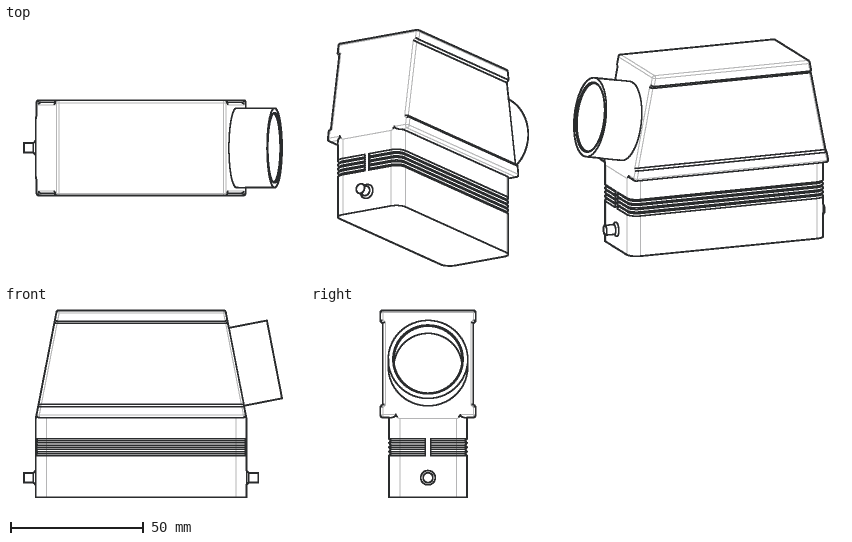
import cadquery as cq
import math

total_height = 70.5
end_slant = 11.0

body_length = 79.5
body_width = 29.4
body_corner_radius = 4.0
body_end_height = 29.8
body_overlap = 2.9

hood_bottom = 30.1
hood_width = 36.0
hood_edge_radius = 1.0
rib_height = 4.1
rib_step = 0.9

groove_count = 4
groove_pitch = 1.61
groove_depth = 0.7
groove_bottom = 15.7
groove_gap = 1.9

pin_tip = 44.2
pin_height = 7.4
pin_radius = 1.85
pin_base_radius = 2.7
pin_cone_length = 0.9

collar_radius = 15.0
bore_radius = 12.9
bore_chamfer = 0.4
collar_reach = 53.2
collar_center_height = 52.0
collar_length = 18.5
bore_depth = 14.6

half_length = body_length / 2
top_half_length = half_length - (total_height - body_end_height) * math.tan(math.radians(end_slant))


def make_side_outline():
    """Full-width prism with vertical lower ends and slanted upper ends."""
    return (
        cq.Workplane("XZ")
        .moveTo(-half_length, 0)
        .lineTo(half_length, 0)
        .lineTo(half_length, body_end_height)
        .lineTo(top_half_length, total_height)
        .lineTo(-top_half_length, total_height)
        .lineTo(-half_length, body_end_height)
        .close()
        .extrude(hood_width / 2, both=True)
    )


def make_hood(side_outline):
    """Ribbed hood section trimmed to the slanted ends, all its outer edges rounded."""
    rib_y = hood_width / 2
    waist_y = rib_y - rib_step
    lower_rib_top = hood_bottom + rib_height
    upper_rib_bottom = total_height - rib_height
    half_section = [
        (rib_y, hood_bottom),
        (rib_y, lower_rib_top),
        (waist_y, lower_rib_top + rib_step),
        (waist_y, upper_rib_bottom - rib_step),
        (rib_y, upper_rib_bottom),
        (rib_y, total_height),
    ]
    mirrored = [(-y, z) for y, z in reversed(half_section)]
    section = cq.Workplane("YZ").polyline(half_section + mirrored).close()
    hood = section.extrude(half_length, both=True).intersect(side_outline)
    long_edges = hood.edges("|X and (>Z or <Z)")
    end_edges = hood.faces("<X or >X").edges()
    return hood.newObject(long_edges.vals() + end_edges.vals()).fillet(hood_edge_radius)


def make_body(side_outline):
    return (
        cq.Workplane("XY")
        .rect(body_length, body_width)
        .extrude(hood_bottom + body_overlap)
        .edges("|Z")
        .fillet(body_corner_radius)
        .intersect(side_outline)
    )


def make_groove_ring(bottom):
    """Ring left between a rounded block and the same block pinched to a V waist."""
    half_pitch = groove_pitch / 2
    taper = math.degrees(math.atan(groove_depth / half_pitch))

    def outline():
        return (
            cq.Sketch()
            .rect(body_length, body_width)
            .vertices()
            .fillet(body_corner_radius)
        )

    base = cq.Workplane("XY").workplane(offset=bottom)
    lower_half = base.placeSketch(outline()).extrude(half_pitch, taper=taper)
    upper_half = lower_half.mirror("XY", (0, 0, bottom + half_pitch))
    ring = base.placeSketch(outline()).extrude(groove_pitch).cut(lower_half).cut(upper_half)
    plain_strip = base.rect(2 * body_length, groove_gap).extrude(groove_pitch)
    return ring.cut(plain_strip)


def make_pin():
    """Pin on the +X end with a conical foot."""
    return (
        cq.Workplane("XY", origin=(0, 0, pin_height))
        .moveTo(half_length - pin_cone_length, 0)
        .lineTo(half_length - pin_cone_length, pin_base_radius)
        .lineTo(half_length, pin_base_radius)
        .lineTo(half_length + pin_cone_length, pin_radius)
        .lineTo(pin_tip, pin_radius)
        .lineTo(pin_tip, 0)
        .close()
        .revolve(360, (0, 0, 0), (1, 0, 0))
    )


def collar_plane():
    """Plane of the collar rim, its normal pointing out along the cable."""
    slant = math.radians(end_slant)
    center_x = collar_reach - collar_radius * math.sin(slant)
    return cq.Plane(
        origin=(center_x, 0, collar_center_height),
        xDir=(0, 1, 0),
        normal=(math.cos(slant), 0, math.sin(slant)),
    )


side_outline = make_side_outline()
result = make_hood(side_outline).union(make_body(side_outline))

for index in range(groove_count):
    result = result.cut(make_groove_ring(groove_bottom + index * groove_pitch))

pin = make_pin()
result = result.union(pin).union(pin.mirror("YZ"))

rim = cq.Workplane(collar_plane())
collar = rim.circle(collar_radius).extrude(-collar_length)
bore = rim.circle(bore_radius).extrude(-bore_depth)
bore_mouth = (
    rim.circle(bore_radius + bore_chamfer)
    .workplane(offset=-bore_chamfer)
    .circle(bore_radius)
    .loft()
)
result = result.union(collar).cut(bore).cut(bore_mouth)